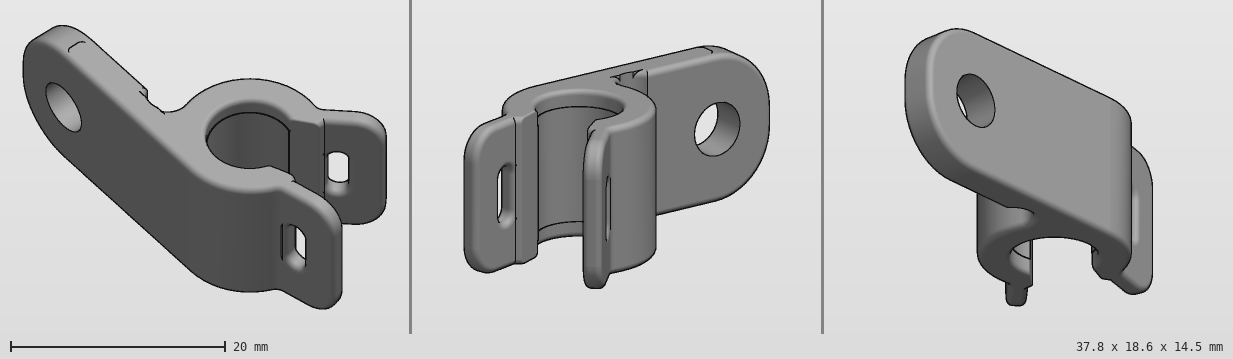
import cadquery as cq
import math

width = 14.5
edge_radius = 0.6

plate_thickness = 3.5
end_radius = 6.3
mount_hole_diameter = 5.2

ring_radius = 7.18
bore_radius = 4.1
bore_edge_radius = 0.5
grip_radius = 4.0
grip_length = 11.35
ring_x = 24.85
ring_y = ring_radius

relief_radius = 2.0
relief_floor = 2.45

mouth_angle = 30.0
lip_start_angle = 46.5
lip_u = 5.65
lip_v = 3.33
shoulder_from_tip = 5.65
lip_edge_radius = 0.2

arm_flare_angle = 16.0
arm_thickness = 1.8
arm_tip_u = 11.2
arm_tip_v = 6.27
arm_length = 7.55
arm_root_radius = 1.1
arm_corner_radius = 3.0

slot_width = 1.95
slot_straight = 3.55
slot_from_tip = 4.45

pad_start_x = 5.95
pad_end_x = 18.55
pad_start_y = 0.6
pad_end_y = 2.6
pad_corner_radius = 0.55

half_width = width / 2
flare = math.radians(arm_flare_angle)
sides = (1, -1)
tolerance = 0.02


def arm_point(along, across):
    """Point (u, v) of the upper arm, a distance from its tip and outward from its mid-line."""
    u = arm_tip_u - along * math.cos(flare) - across * math.sin(flare)
    v = arm_tip_v - along * math.sin(flare) + across * math.cos(flare)
    return u, v


def mouth_to_part(point, side):
    """Turn a point (u, v) of the upper (1) or lower (-1) side into part coordinates (x, y)."""
    angle = math.radians(mouth_angle)
    u = point[0]
    v = side * point[1]
    x = ring_x + u * math.cos(angle) - v * math.sin(angle)
    y = ring_y + u * math.sin(angle) + v * math.cos(angle)
    return x, y


def prism(sketch):
    """Extrude a closed XY outline over the full width."""
    return sketch.extrude(half_width, both=True)


def cylinder(x, y, radius):
    return prism(cq.Workplane("XY").center(x, y).circle(radius))


def plate():
    """Flat strip with a rounded free end, running under the ring."""
    strip = cq.Workplane("XY").box(ring_x, plate_thickness, width, centered=(False, False, True))
    return strip.edges("|Y and <X").fillet(end_radius)


def relief_centre():
    """Centre of the relief, resting on its floor and tangent to the ring."""
    y = relief_floor + relief_radius
    reach = math.sqrt((ring_radius + relief_radius) ** 2 - (ring_y - y) ** 2)
    return ring_x - reach, y


def web():
    """Filling between the relief and the ring."""
    x, y = relief_centre()
    outline = [(x, 0), (ring_x, 0), (ring_x, ring_y), (x, y)]
    return prism(cq.Workplane("XY").polyline(outline).close())


def arm(side):
    """Blade with rounded tip corners, flared away from the mouth axis."""
    blade = cq.Workplane("XY").box(arm_length, arm_thickness, width)
    blade = blade.edges("|Y and >X").fillet(arm_corner_radius)
    x, y = mouth_to_part(arm_point(arm_length / 2, 0), side)
    angle = mouth_angle + side * arm_flare_angle
    return blade.rotate((0, 0, 0), (0, 0, 1), angle).translate((x, y, 0))


def mouth_outline():
    """Lip start, lip corner, shoulder and far end of the upper half of the opening."""
    start = math.radians(lip_start_angle)
    return [
        (bore_radius * math.cos(start), bore_radius * math.sin(start)),
        (lip_u, lip_v),
        arm_point(shoulder_from_tip, -arm_thickness / 2),
        arm_point(-arm_length, -arm_thickness / 2),
    ]


def mouth():
    """Opening between the two lips and the two arms."""
    upper = [mouth_to_part(point, 1) for point in mouth_outline()]
    lower = [mouth_to_part(point, -1) for point in mouth_outline()]
    outline = [(ring_x, ring_y)] + upper + lower[::-1]
    return prism(cq.Workplane("XY").polyline(outline).close())


def arm_root(side):
    """Corner where the outer face of an arm meets the ring."""
    offset = arm_tip_v * math.cos(flare) - arm_tip_u * math.sin(flare) + arm_thickness / 2
    reach = math.sqrt(ring_radius**2 - offset**2)
    u = reach * math.cos(flare) - offset * math.sin(flare)
    v = reach * math.sin(flare) + offset * math.cos(flare)
    return mouth_to_part((u, v), side)


def slot(side):
    """Cutter for the finger slot, square to the arm and widening at both arm faces."""
    straight_slot = (
        cq.Workplane("XZ")
        .slot2D(slot_straight + slot_width, slot_width, 90)
        .extrude(arm_thickness / 2, both=True)
    )
    block = cq.Workplane("XY").box(2 * slot_width, arm_thickness, 2 * slot_straight)
    frame = block.cut(straight_slot)
    for face in (">Y", "<Y"):
        rims = frame.faces(face).val().innerWires()[0].Edges()
        frame = frame.newObject(rims).fillet(edge_radius)
    cutter = block.cut(frame)
    x, y = mouth_to_part(arm_point(slot_from_tip, 0), side)
    angle = mouth_angle + side * arm_flare_angle
    return cutter.rotate((0, 0, 0), (0, 0, 1), angle).translate((x, y, 0))


def mount_hole():
    circle = cq.Workplane("XZ").center(end_radius, 0).circle(mount_hole_diameter / 2)
    return circle.extrude(-plate_thickness)


def label_pad():
    """Flat panel that fills the rounded rim of the relief, flush with the +Z side."""
    pad = cq.Workplane("XY").box(
        pad_end_x - pad_start_x, pad_end_y - pad_start_y, edge_radius, centered=False
    )
    pad = pad.edges("|Z").fillet(pad_corner_radius)
    return pad.translate((pad_start_x, pad_start_y, half_width - edge_radius))


def grip():
    """Slightly raised band along the middle of the bore, open at the mouth."""
    band = cq.Workplane("XY").circle(ring_radius - arm_thickness).circle(grip_radius)
    band = band.extrude(grip_length / 2, both=True)
    return band.translate((ring_x, ring_y, 0)).cut(mouth())


def lies_on_lip(edge):
    """True for an edge running from the bore to a lip corner."""
    for side in sides:
        start, corner = [mouth_to_part(point, side) for point in mouth_outline()[:2]]
        middle = edge.Center()
        gap = math.hypot(middle.x - (start[0] + corner[0]) / 2, middle.y - (start[1] + corner[1]) / 2)
        if gap < edge_radius:
            return True
    return False


def lies_on_bore(edge):
    return edge.geomType() == "CIRCLE" and abs(edge.radius() - bore_radius) < tolerance


def is_seam(edge):
    """True for a straight line that crosses the part or a blade where smooth faces meet."""
    spans = (width, plate_thickness, arm_thickness)
    return edge.geomType() == "LINE" and any(abs(edge.Length() - span) < tolerance for span in spans)


def face_at(body, point):
    return body.faces(cq.selectors.NearestToPointSelector((*point, 0)))


def rounded_edges(body):
    """Outlines of the two Z sides, the plate faces and the arm faces, without lips and bore."""
    outlines = body.faces("<Z or >Z").edges()
    outlines = outlines.add(face_at(body, (ring_x / 2, 0)).edges())
    outlines = outlines.add(face_at(body, (end_radius, plate_thickness)).edges())
    for side in sides:
        for across in (-arm_thickness / 2, arm_thickness / 2):
            point = mouth_to_part(arm_point(arm_corner_radius, across), side)
            outlines = outlines.add(face_at(body, point).edges())
    return outlines.filter(
        lambda edge: not (is_seam(edge) or lies_on_lip(edge) or lies_on_bore(edge))
    )


body = plate().union(cylinder(ring_x, ring_y, ring_radius)).union(web())
for side in sides:
    body = body.union(arm(side))
relief = cylinder(*relief_centre(), relief_radius)
body = body.cut(relief).cut(cylinder(ring_x, ring_y, bore_radius)).cut(mouth()).clean()

for side in sides:
    x, y = arm_root(side)
    body = body.edges(cq.selectors.NearestToPointSelector((x, y, 0))).fillet(arm_root_radius)
body = rounded_edges(body).fillet(edge_radius)
body = body.edges().filter(lies_on_bore).fillet(bore_edge_radius)
body = body.edges().filter(lies_on_lip).fillet(lip_edge_radius)

body = body.union(grip()).union(label_pad().cut(relief)).cut(mount_hole())
for side in sides:
    body = body.cut(slot(side))

result = body